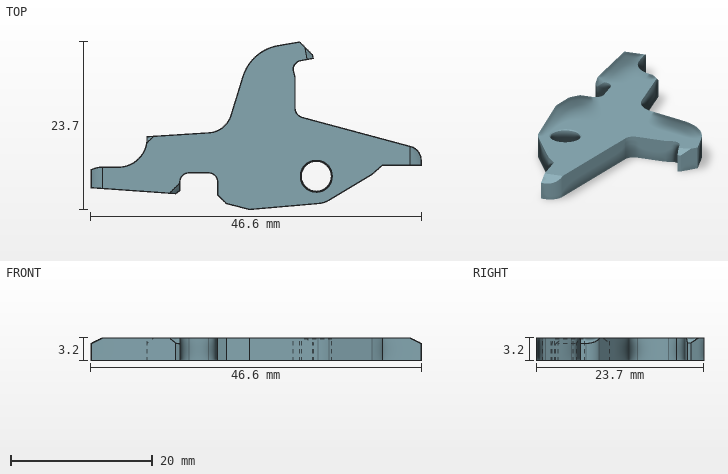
import cadquery as cq
import math

length = 46.6
width = 23.7
thickness = 3.2

arm_top = 6.0
arm_bottom = 3.08
slot_left = 12.55
slot_right = 17.85
slot_top = 5.17
slot_radius = 1.25
step_x = 7.9
step_top = 10.3

right_arm_bottom = 6.25
hook_inner_x = 28.8

hole_center = (31.8, 4.7)
hole_diameter = 4.25
hole_chamfer = 0.15

bevel_drop = 0.8
end_bevel_run = 1.6
slot_bevel_run = 0.7
step_bevel_run = 0.65
hook_bevel_run = 1.0
cutter_margin = 0.45


def build_plate():
    slot_mid = slot_radius * (1 - math.sqrt(0.5))
    return (
        cq.Workplane("XY")
        .moveTo(0, arm_bottom)
        .lineTo(0, 5.65)
        .threePointArc((0.65, 5.85), (1.35, arm_top))
        .lineTo(4.15, arm_top)
        .threePointArc((6.7, 7.2), (step_x, step_top))
        .lineTo(16.75, 10.85)
        .threePointArc((18.6, 11.6), (19.7, 13.25))
        .lineTo(21.35, 18.55)
        .threePointArc((23.4, 21.75), (26.7, 23.2))
        .lineTo(29.4, width)
        .lineTo(31.28, 21.8)
        .lineTo(31.35, 21.35)
        .lineTo(29.6, 21.0)
        .threePointArc((28.8, 20.55), (28.53, 19.8))
        .lineTo(hook_inner_x, 18.65)
        .lineTo(hook_inner_x, 14.3)
        .threePointArc((29.05, 13.55), (29.7, 13.05))
        .lineTo(45.3, 8.85)
        .threePointArc((46.25, 8.1), (length, 7.0))
        .lineTo(length, right_arm_bottom)
        .lineTo(41.1, right_arm_bottom)
        .lineTo(39.6, 4.95)
        .lineTo(33.55, 1.3)
        .threePointArc((32.8, 1.0), (32.0, 0.85))
        .lineTo(22.35, 0)
        .lineTo(19.1, 0.85)
        .lineTo(slot_right, 2.05)
        .lineTo(slot_right, slot_top - slot_radius)
        .threePointArc(
            (slot_right - slot_mid, slot_top - slot_mid),
            (slot_right - slot_radius, slot_top),
        )
        .lineTo(slot_left + slot_radius, slot_top)
        .threePointArc(
            (slot_left + slot_mid, slot_top - slot_mid),
            (slot_left, slot_top - slot_radius),
        )
        .lineTo(slot_left, 2.7)
        .lineTo(11.95, 2.25)
        .close()
        .extrude(thickness)
    )


def bevel_cutter(edge_middle, angle, run, edge_length):
    """Wedge falling from a top edge by bevel_drop over run, outward at angle."""
    direction = math.radians(angle)
    outward = cq.Vector(math.cos(direction), math.sin(direction), 0)
    along = cq.Vector(-outward.y, outward.x, 0)
    reach = run + cutter_margin
    middle = cq.Vector(edge_middle[0], edge_middle[1], thickness)
    section = cq.Plane(middle - along * (edge_length / 2), outward, -along)
    return (
        cq.Workplane(section)
        .polyline([(0, 0), (reach, -bevel_drop * reach / run), (reach, 0)])
        .close()
        .extrude(-edge_length)
    )


def cut_bevels(body):
    bevels = [
        ((end_bevel_run, 4.47), 180, end_bevel_run, 4.65),
        ((length - end_bevel_run, 7.55), 0, end_bevel_run, 4.65),
        ((11.85, 3.08), -45, slot_bevel_run, 2.8),
        ((8.3, 9.85), 135, step_bevel_run, 1.85),
        ((30.35, 22.0), 10, hook_bevel_run, 2.8),
    ]
    for edge_middle, angle, run, edge_length in bevels:
        body = body.cut(bevel_cutter(edge_middle, angle, run, edge_length))
    return body


def cut_pivot_hole(body):
    countersink_diameter = hole_diameter + 2 * hole_chamfer
    return (
        body.faces(">Z")
        .workplane(origin=(hole_center[0], hole_center[1], thickness))
        .cskHole(hole_diameter, countersink_diameter, 90)
    )


result = cut_pivot_hole(cut_bevels(build_plate()))